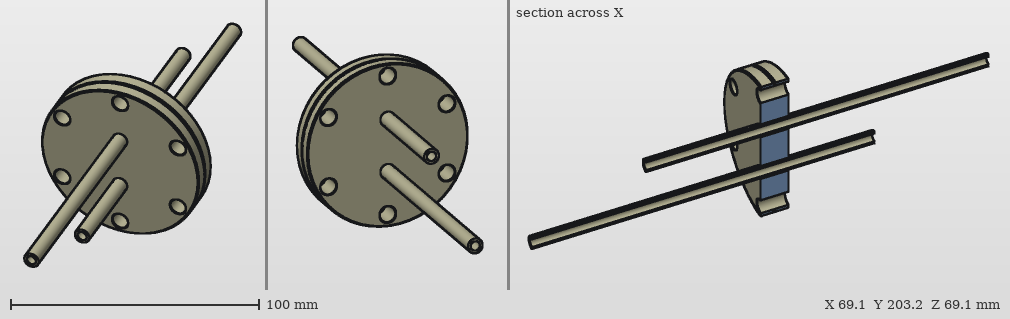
import cadquery as cq

flange_diameter = 69.1
flange_thickness = 12.7
edge_chamfer = 0.5

groove_width = 1.0

bolt_count = 6
bolt_hole_diameter = 6.7
bolt_hole_chamfer = 0.25
bolt_circle_diameter = 58.7

tube_outer_diameter = 6.35
tube_bore_diameter = 3.95
tube_length = 152.4
tube_spacing = 22.2
tube_long_reach = 101.6
tube_short_reach = tube_length - tube_long_reach

tube_places = [
    (tube_spacing / 2, -tube_long_reach),
    (-tube_spacing / 2, -tube_short_reach),
]


def cylinder_along_y(diameter, length, front_y, height=0):
    """Solid cylinder running from front_y towards +Y at the given Z height."""
    front_plane = cq.Workplane("XZ", origin=(0, front_y, height))
    return front_plane.circle(diameter / 2).extrude(-length)


def make_rim_groove():
    """Ring-shaped cutter, round in section, centred on the middle of the rim."""
    section = (
        cq.Workplane("XY", origin=(0, -flange_thickness / 2, 0))
        .center(flange_diameter / 2, 0)
        .circle(groove_width / 2)
    )
    return section.revolve(360, (-flange_diameter / 2, 0), (-flange_diameter / 2, 1))


def make_bolt_hole():
    """Cutter for one bolt hole on the flange axis, flared at both ends for the mouth chamfers."""
    bore_radius = bolt_hole_diameter / 2
    mouth_radius = bore_radius + bolt_hole_chamfer
    half_profile = [
        (0, 0),
        (mouth_radius, 0),
        (bore_radius, -bolt_hole_chamfer),
        (bore_radius, bolt_hole_chamfer - flange_thickness),
        (mouth_radius, -flange_thickness),
        (0, -flange_thickness),
    ]
    return cq.Workplane("XY").polyline(half_profile).close().revolve(360, (0, 0), (0, 1))


def make_flange():
    """Bolted disc with chamfered edges, a rim groove, bolt holes and tube holes."""
    flange = cylinder_along_y(flange_diameter, flange_thickness, -flange_thickness)
    flange = flange.faces("<Y or >Y").chamfer(edge_chamfer)
    flange = flange.cut(make_rim_groove())

    bolt_hole = make_bolt_hole().translate((0, 0, bolt_circle_diameter / 2))
    for index in range(bolt_count):
        bolt_angle = index * 360 / bolt_count
        flange = flange.cut(bolt_hole.rotate((0, 0, 0), (0, 1, 0), bolt_angle))

    for height, _ in tube_places:
        tube_hole = cylinder_along_y(tube_outer_diameter, flange_thickness, -flange_thickness, height)
        flange = flange.cut(tube_hole)
    return flange


def make_tube(height, front_y):
    """Straight open tube along Y."""
    outer = cylinder_along_y(tube_outer_diameter, tube_length, front_y, height)
    bore = cylinder_along_y(tube_bore_diameter, tube_length, front_y, height)
    return outer.cut(bore)


flange = make_flange()
tubes = [make_tube(height, front_y) for height, front_y in tube_places]

result = cq.Compound.makeCompound([flange.val(), *[tube.val() for tube in tubes]])